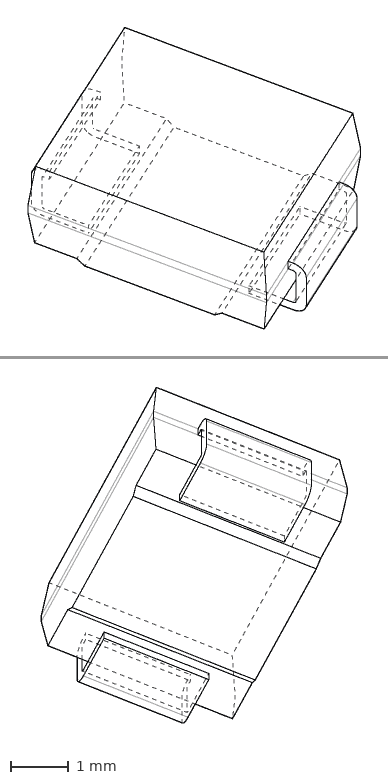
import cadquery as cq

length = 5.3
body_width = 3.7
height = 2.25

lead_thickness = 0.2
lead_width = 2.0
lead_top = 1.255
lead_foot_inner_x = 1.55
lead_outer_radius = 0.255
lead_inner_radius = 0.055

body_length = 4.6
band_bottom = lead_top - lead_thickness
ledge_z = lead_thickness
taper_inset = 0.1

pad_bottom = 0.065
pad_top_length = 2.8
pad_bottom_length = 2.5


def tapered_half(start_z, end_z):
    """Body half that narrows by the taper inset on every side from start_z to end_z."""
    return (
        cq.Workplane("XY", origin=(0, 0, start_z))
        .rect(body_length, body_width)
        .workplane(offset=end_z - start_z)
        .rect(body_length - 2 * taper_inset, body_width - 2 * taper_inset)
        .loft(ruled=True)
    )


def lower_profile():
    """Prism that leaves a ledge at each end of the lower half and a slope-ended pad between them."""
    return (
        cq.Workplane("XZ")
        .moveTo(-body_length / 2, band_bottom)
        .lineTo(-body_length / 2, ledge_z)
        .lineTo(-pad_top_length / 2, ledge_z)
        .lineTo(-pad_bottom_length / 2, pad_bottom)
        .lineTo(pad_bottom_length / 2, pad_bottom)
        .lineTo(pad_top_length / 2, ledge_z)
        .lineTo(body_length / 2, ledge_z)
        .lineTo(body_length / 2, band_bottom)
        .close()
        .extrude(body_width / 2, both=True)
    )


def make_body():
    """Straight parting band with a tapered half above and below."""
    band = (
        cq.Workplane("XY", origin=(0, 0, band_bottom))
        .rect(body_length, body_width)
        .extrude(lead_top - band_bottom)
    )
    upper = tapered_half(lead_top, height)
    lower = tapered_half(band_bottom, pad_bottom)
    return band.union(upper).union(lower.intersect(lower_profile()))


def lead_block(outer_x, inner_x, bottom, top, radius):
    """Block across the lead width, rounded along its two outer edges."""
    return (
        cq.Workplane("XY")
        .box(outer_x - inner_x, lead_width, top - bottom, centered=(False, True, False))
        .translate((inner_x, 0, bottom))
        .edges("|Y and >X")
        .fillet(radius)
    )


def make_lead():
    """C-shaped lead on the +X end, with its foot folded under the body."""
    outer = lead_block(length / 2, lead_foot_inner_x, 0, lead_top, lead_outer_radius)
    opening = lead_block(
        length / 2 - lead_thickness,
        lead_foot_inner_x,
        lead_thickness,
        band_bottom,
        lead_inner_radius,
    )
    return outer.cut(opening)


right_lead = make_lead()
left_lead = right_lead.mirror("YZ")
result = make_body().union(right_lead).union(left_lead)